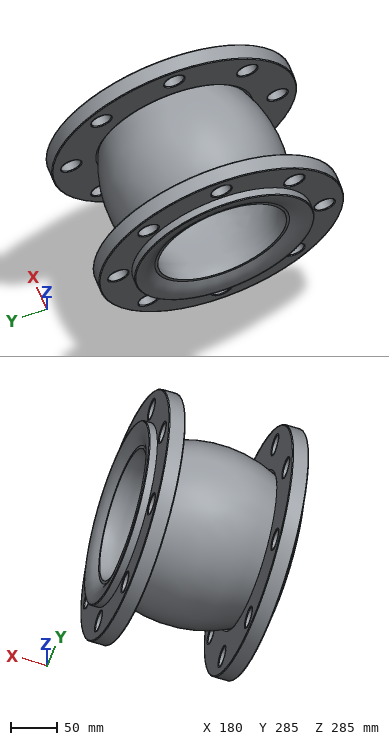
import cadquery as cq
import math

edge_chamfer = 1.0

length = 180.0
collar_diameter = 209.0
collar_width = 9.5
neck_diameter = 171.0
bore_diameter = 150.0
bulge_diameter = 204.5
blend_radius = 28.5
blend_start_x = 76.0

mouth_diameter = 200.5
mouth_floor_diameter = 156.8
mouth_depth = 7.5

flange_diameter = 285.0
flange_thickness = 18.8
bolt_circle_diameter = 240.0
bolt_hole_diameter = 23.0
bolt_hole_count = 8
lead_in_diameter = 183.0

end_x = length / 2
flange_outer_x = end_x - collar_width
flange_inner_x = flange_outer_x - flange_thickness
mouth_floor_x = end_x - mouth_depth

neck_radius = neck_diameter / 2
bore_radius = bore_diameter / 2
bulge_radius = bulge_diameter / 2
collar_radius = collar_diameter / 2
mouth_radius = mouth_diameter / 2
mouth_floor_radius = mouth_floor_diameter / 2
wall = neck_radius - bore_radius

blend_center_radius = neck_radius + blend_radius
center_rise = blend_center_radius - bulge_radius
bulge_arc_radius = (
    (blend_start_x**2 + center_rise**2 - blend_radius**2) / (2 * (blend_radius - center_rise))
)
blend_angle = math.asin(blend_start_x / (bulge_arc_radius + blend_radius))


def mouth_midpoint():
    """Middle of the mouth arc, which leaves the end face tangentially."""
    radial_run = mouth_radius - mouth_floor_radius
    arc_radius = (radial_run**2 + mouth_depth**2) / (2 * mouth_depth)
    half_angle = math.asin(radial_run / arc_radius) / 2
    x = end_x - arc_radius * (1 - math.cos(half_angle))
    radius = mouth_radius - arc_radius * math.sin(half_angle)
    return x, radius


def blend_point(angle, offset=0):
    """Point on the blend arc at an angle from the neck, set inward by an offset."""
    radius = blend_radius + offset
    return blend_start_x - radius * math.sin(angle), blend_center_radius - radius * math.cos(angle)


def mirrored(point):
    """The same point on the -X half of the section."""
    return -point[0], point[1]


def make_bellows():
    """Revolve the wall section, keeping the same wall through neck and bulge."""
    mouth_mid = mouth_midpoint()
    mouth_floor = (mouth_floor_x, mouth_floor_radius)
    outer_mid = blend_point(blend_angle / 2)
    outer_end = blend_point(blend_angle)
    inner_mid = blend_point(blend_angle / 2, wall)
    inner_end = blend_point(blend_angle, wall)
    section = (
        cq.Workplane("XY")
        .moveTo(*mirrored(outer_end))
        .threePointArc((0, bulge_radius), outer_end)
        .threePointArc(outer_mid, (blend_start_x, neck_radius))
        .lineTo(flange_outer_x, neck_radius)
        .lineTo(flange_outer_x, collar_radius)
        .lineTo(end_x - edge_chamfer, collar_radius)
        .lineTo(end_x, collar_radius - edge_chamfer)
        .lineTo(end_x, mouth_radius)
        .threePointArc(mouth_mid, mouth_floor)
        .lineTo(mouth_floor_x, bore_radius)
        .lineTo(blend_start_x, bore_radius)
        .threePointArc(inner_mid, inner_end)
        .threePointArc((0, bulge_radius - wall), mirrored(inner_end))
        .threePointArc(mirrored(inner_mid), (-blend_start_x, bore_radius))
        .lineTo(-mouth_floor_x, bore_radius)
        .lineTo(*mirrored(mouth_floor))
        .threePointArc(mirrored(mouth_mid), (-end_x, mouth_radius))
        .lineTo(-end_x, collar_radius - edge_chamfer)
        .lineTo(-end_x + edge_chamfer, collar_radius)
        .lineTo(-flange_outer_x, collar_radius)
        .lineTo(-flange_outer_x, neck_radius)
        .lineTo(-blend_start_x, neck_radius)
        .threePointArc(mirrored(outer_mid), mirrored(outer_end))
        .close()
    )
    return section.revolve(360, (0, 0, 0), (1, 0, 0))


def make_flange_bore():
    """Space inside the +X flange: neck, blend and the lead-in at the inner face."""
    section = (
        cq.Workplane("XY")
        .moveTo(flange_inner_x, 0)
        .lineTo(flange_inner_x, lead_in_diameter / 2)
        .lineTo(*blend_point(blend_angle))
        .threePointArc(blend_point(blend_angle / 2), (blend_start_x, neck_radius))
        .lineTo(flange_outer_x, neck_radius)
        .lineTo(flange_outer_x, 0)
        .close()
    )
    return section.revolve(360, (0, 0, 0), (1, 0, 0))


def make_flange(side):
    """Flange at the -X (side = -1) or +X (side = 1) end."""
    inner_face = cq.Workplane("YZ", origin=(flange_inner_x, 0, 0))
    disc = inner_face.circle(flange_diameter / 2).extrude(flange_thickness)
    disc = disc.edges().chamfer(edge_chamfer)
    bolt_holes = (
        inner_face
        .polarArray(bolt_circle_diameter / 2, 0, 360, bolt_hole_count)
        .circle(bolt_hole_diameter / 2)
        .extrude(flange_thickness)
    )
    hole_rims = cq.selectors.RadiusNthSelector(0)
    drilled = disc.cut(bolt_holes).edges("%CIRCLE").edges(hole_rims).chamfer(edge_chamfer)
    flange = drilled.cut(make_flange_bore())
    return flange.mirror("YZ") if side < 0 else flange


bellows = make_bellows()
flanges = [make_flange(side) for side in (-1, 1)]

result = cq.Compound.makeCompound([bellows.val(), *[flange.val() for flange in flanges]])